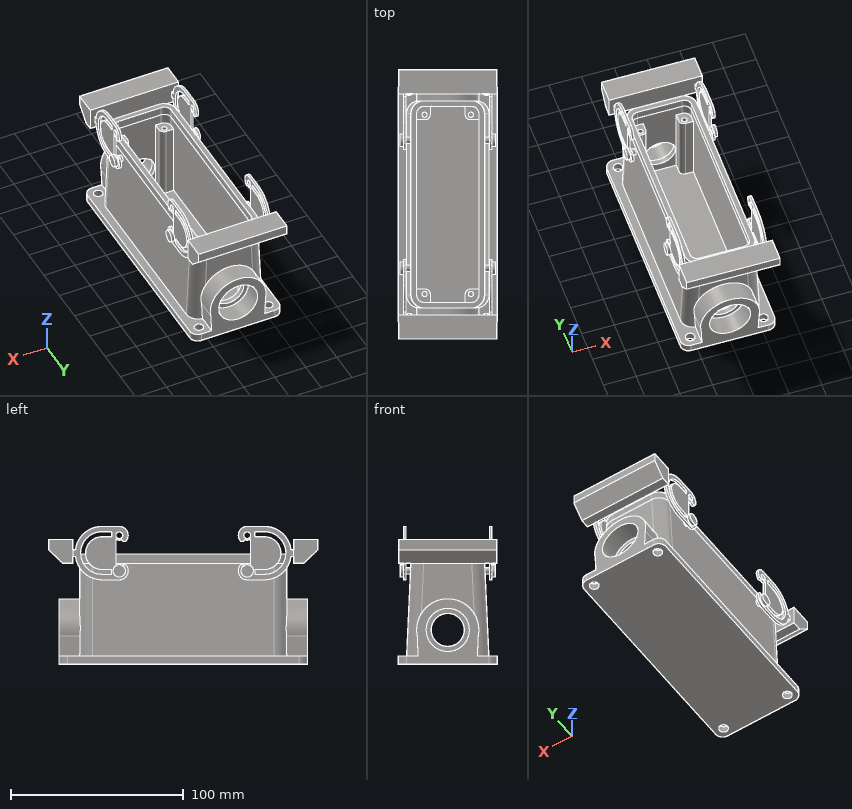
import cadquery as cq
import math

flange_width = 57.5
flange_length = 144.0
flange_height = 5.0
flange_corner_radius = 5.0
screw_hole_radius = 2.75
screw_hole_x = 22.4
screw_hole_y = 66.0

gasket_bottom = 58.5
rim_height = 64.0
hood_length = 120.0
foot_half_width = 23.9
rim_half_width = 21.2
hood_corner_radius = 7.5
rim_wall = 3.2
cavity_half_width = rim_half_width - rim_wall
cavity_half_length = hood_length / 2 - rim_wall
cavity_corner_radius = hood_corner_radius - rim_wall
floor_height = flange_height

post_height = 52.0
post_inner_x = 10.1
post_inner_y = 49.1
post_corner_radius = 3.0
post_hole_x = 13.4
post_hole_y = 51.9
post_hole_radius = 1.5
post_hole_depth = 15.0

entry_height = 20.0
entry_radius = 18.0
entry_foot_half_width = 17.17
entry_crease_height = 16.6
entry_bore_radius = 12.5
entry_hole_radius = 9.5
entry_bore_depth = (flange_length - hood_length) / 2

lever_height = 64.5
plate_inner_x = 24.1
plate_thickness = 1.5
plate_radius = 15.5
plate_center_y = 47.1
slot_outer_radius = 12.3
slot_inner_radius = 9.5
slot_end_y = 41.5
slot_corner_radius = 0.6
plate_edge_y = 38.9
ear_y = 37.05
ear_offset = 10.3
ear_radius = plate_radius - ear_offset
ear_hole_radius = 1.9
notch_radius = 2.9
hook_outer_angle = math.radians(222)
hook_tip_angle = math.radians(238)
hook_inner_angle = math.radians(242)
hook_tip_radius = (ear_radius + notch_radius) / 2
neck_width = 4.0

bar_width = 57.0
bar_inner_y = 64.0
bar_outer_y = 78.0
bar_top = 72.5
bar_bottom = 58.5
bar_chamfer_y = 69.8
bar_chamfer_z = 66.4

pin_radius = ear_hole_radius
pin_head_radius = 3.6
pin_head_outer_x = 27.6
pin_root_x = cavity_half_width + rim_wall / 2

SIDES = (1, -1)
CORNERS = [(sx, sy) for sx in SIDES for sy in SIDES]


def half_width_at(height):
    """Half width of the tapered hood at a height above the base."""
    taper = (foot_half_width - rim_half_width) / (rim_height - flange_height)
    return foot_half_width - taper * (height - flange_height)


def tapered_block(bottom, top):
    """Slice of the hood: sides lean inwards, end faces stay upright, corners are rounded."""
    low = half_width_at(bottom)
    high = half_width_at(top)
    return (
        cq.Workplane("XZ", origin=(0, hood_length / 2, 0))
        .polyline([(-low, bottom), (low, bottom), (high, top), (-high, top)])
        .close()
        .extrude(hood_length)
        .faces("<X or >X")
        .edges("not |Y")
        .fillet(hood_corner_radius)
    )


def cavity_block(bottom, top):
    """Upright rounded block that fills the cavity between two heights."""
    return (
        cq.Workplane("XY", origin=(0, 0, bottom))
        .rect(2 * cavity_half_width, 2 * cavity_half_length)
        .extrude(top - bottom)
        .edges("|Z")
        .fillet(cavity_corner_radius)
    )


def flange():
    """Rounded base plate with a screw hole in each corner."""
    plate = (
        cq.Workplane("XY")
        .rect(flange_width, flange_length)
        .extrude(flange_height)
        .edges("|Z")
        .fillet(flange_corner_radius)
    )
    hole_centers = [(sx * screw_hole_x, sy * screw_hole_y) for sx, sy in CORNERS]
    holes = cq.Workplane("XY").pushPoints(hole_centers).circle(screw_hole_radius).extrude(flange_height)
    return plate.cut(holes)


def entry_bosses():
    """Cable entry bosses: round tops on a foot that narrows slightly downwards."""
    end_plane = cq.Workplane("XZ", origin=(0, flange_length / 2, 0))
    barrel = end_plane.center(0, entry_height).circle(entry_radius).extrude(flange_length)
    crease_half_width = math.sqrt(entry_radius**2 - (entry_height - entry_crease_height)**2)
    foot = (
        end_plane.polyline([
            (-entry_foot_half_width, flange_height),
            (entry_foot_half_width, flange_height),
            (crease_half_width, entry_crease_height),
            (-crease_half_width, entry_crease_height),
        ])
        .close()
        .extrude(flange_length)
    )
    return barrel.union(foot)


def entry_holes():
    """Through hole along the housing with a wide bore at each end."""
    end_plane = cq.Workplane("XZ", origin=(0, flange_length / 2, entry_height))
    holes = end_plane.circle(entry_hole_radius).extrude(flange_length)
    for start in (flange_length / 2, entry_bore_depth - flange_length / 2):
        bore_plane = cq.Workplane("XZ", origin=(0, start, entry_height))
        holes = holes.union(bore_plane.circle(entry_bore_radius).extrude(entry_bore_depth))
    return holes


def screw_post(side_x, side_y):
    """Post in one cavity corner, merged with both walls, with a blind screw hole."""
    size_x = cavity_half_width - post_inner_x
    size_y = cavity_half_length - post_inner_y
    center_x = side_x * (post_inner_x + size_x / 2)
    center_y = side_y * (post_inner_y + size_y / 2)
    inner_corner = (side_x * post_inner_x, side_y * post_inner_y, post_height / 2)
    post = (
        cq.Workplane("XY", origin=(center_x, center_y, 0))
        .rect(size_x, size_y)
        .extrude(post_height)
        .edges("|Z")
        .edges(cq.NearestToPointSelector(inner_corner))
        .fillet(post_corner_radius)
    )
    hole = (
        cq.Workplane("XY", origin=(side_x * post_hole_x, side_y * post_hole_y, post_height))
        .circle(post_hole_radius)
        .extrude(-post_hole_depth)
    )
    return post.cut(hole)


def lever_plate():
    """C-slotted side plate of the +Y lever at +X, with a hook-ended ear above and below."""
    upper_ear = lever_height + ear_offset
    lower_ear = lever_height - ear_offset
    plane = cq.Workplane("YZ", origin=(plate_inner_x, 0, 0))
    plate = (
        plane.moveTo(ear_y, lever_height + plate_radius)
        .lineTo(plate_center_y, lever_height + plate_radius)
        .threePointArc(
            (plate_center_y + plate_radius, lever_height), (plate_center_y, lever_height - plate_radius)
        )
        .lineTo(ear_y, lever_height - plate_radius)
        .lineTo(ear_y, lower_ear)
        .lineTo(plate_edge_y, lower_ear)
        .lineTo(plate_edge_y, upper_ear)
        .lineTo(ear_y, upper_ear)
        .close()
        .extrude(plate_thickness)
    )
    neck_length = bar_inner_y - plate_center_y - slot_outer_radius
    neck = (
        plane.center(bar_inner_y - neck_length / 2, lever_height)
        .rect(neck_length, neck_width)
        .extrude(plate_thickness)
    )
    plate = plate.union(neck).cut(lever_slot())
    for side_z in SIDES:
        plate = plate.union(lever_hook(side_z))
    upper_hole = plane.center(ear_y, upper_ear).circle(ear_hole_radius).extrude(plate_thickness)
    return plate.cut(upper_hole)


def lever_hook(side_z):
    """Round ear that curls around a concentric notch and ends in a rounded nose."""
    ear_z = lever_height + side_z * ear_offset

    def ear_point(radius, angle):
        return (ear_y + radius * math.cos(angle), ear_z + side_z * radius * math.sin(angle))

    edge_angle = -math.acos((plate_edge_y - ear_y) / notch_radius)
    return (
        cq.Workplane("YZ", origin=(plate_inner_x, 0, 0))
        .moveTo(*ear_point(ear_radius, math.pi / 2))
        .threePointArc(ear_point(ear_radius, math.pi), ear_point(ear_radius, hook_outer_angle))
        .threePointArc(ear_point(hook_tip_radius, hook_tip_angle), ear_point(notch_radius, hook_inner_angle))
        .threePointArc(ear_point(notch_radius, -math.pi / 2), ear_point(notch_radius, edge_angle))
        .lineTo(plate_edge_y, ear_z + side_z * ear_radius)
        .close()
        .extrude(plate_thickness)
    )


def lever_slot():
    """C-shaped slot concentric with the round back of the lever plate."""
    def d_shape(radius):
        return (
            cq.Workplane("YZ", origin=(plate_inner_x, 0, 0))
            .moveTo(slot_end_y, lever_height + radius)
            .lineTo(plate_center_y, lever_height + radius)
            .threePointArc((plate_center_y + radius, lever_height), (plate_center_y, lever_height - radius))
            .lineTo(slot_end_y, lever_height - radius)
            .close()
            .extrude(plate_thickness)
        )

    return (
        d_shape(slot_outer_radius)
        .cut(d_shape(slot_inner_radius))
        .edges("|X and <Y")
        .fillet(slot_corner_radius)
    )


def lever_bar():
    """Handle bar of the +Y lever, chamfered along its outer lower edge."""
    return (
        cq.Workplane("YZ", origin=(-bar_width / 2, 0, 0))
        .polyline([
            (bar_inner_y, bar_bottom),
            (bar_chamfer_y, bar_bottom),
            (bar_outer_y, bar_chamfer_z),
            (bar_outer_y, bar_top),
            (bar_inner_y, bar_top),
        ])
        .close()
        .extrude(bar_width)
    )


def pivot_pin():
    """Headed pin at +X that carries the lower ear of the lever on the hood wall."""
    pin_z = lever_height - ear_offset
    shank = (
        cq.Workplane("YZ", origin=(pin_root_x, ear_y, pin_z))
        .circle(pin_radius)
        .extrude(pin_head_outer_x - pin_root_x)
    )
    head_start = plate_inner_x + plate_thickness
    head = (
        cq.Workplane("YZ", origin=(head_start, ear_y, pin_z))
        .circle(pin_head_radius)
        .extrude(pin_head_outer_x - head_start)
    )
    return shank.union(head)


def lever():
    """Complete +Y lever: handle bar, two side plates and two pivot pins."""
    side = lever_plate().union(pivot_pin())
    return lever_bar().union(side).union(side.mirror("YZ"))


def make_housing():
    """Housing with flange, cable entries, screw posts and both levers on their pivot pins."""
    body = tapered_block(flange_height, gasket_bottom).union(flange()).union(entry_bosses())
    body = body.cut(cavity_block(floor_height, rim_height))
    for side_x, side_y in CORNERS:
        body = body.union(screw_post(side_x, side_y))
    body = body.cut(entry_holes())
    end_lever = lever()
    return body.union(end_lever).union(end_lever.mirror("XZ"))


def make_gasket():
    """Rim gasket on top of the hood wall, flush with it inside and outside."""
    ring = tapered_block(gasket_bottom, rim_height)
    return ring.cut(cavity_block(gasket_bottom, rim_height))


housing = make_housing()
gasket = make_gasket()

result = cq.Compound.makeCompound([housing.val(), gasket.val()])